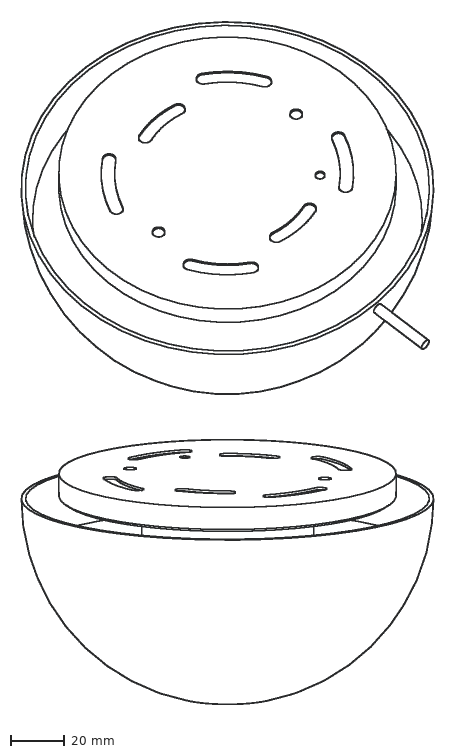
import cadquery as cq
import math

overall_length = 179.7
overall_height = 87.2
bowl_diameter = 155.0
bowl_radius = bowl_diameter / 2
wall = 1.6
floor_depth = 20.0

plate_top = overall_height - bowl_radius
plate_radius = 63.5
plate_edge_height = 8.5
bevel_width = 1.6
bevel_height = 1.0
underside_radius = plate_radius - bevel_width
neck_radius = 32.3

cable_diameter = 4.1
cable_drop = 4.0
cable_end = overall_length - bowl_radius

recess_depth = 0.9
slot_width = 5.0
slot_half_angle = 15
side_slot_radius = 35.0
side_slot_angles = (0, 180)
diagonal_slot_radius = 45.0
diagonal_slot_angles = (50, 130, 230, 310)
screw_hole_diameter = 4.7
screw_hole_offset = 37.7
small_hole_diameter = 3.6
small_hole_position = (26.0, 23.2)


def polar(radius, degrees):
    angle = math.radians(degrees)
    return (radius * math.cos(angle), radius * math.sin(angle))


def make_bowl():
    """Half ball with a thin upright rim around a flat sunken floor."""
    inner_radius = bowl_radius - wall
    floor_radius = math.sqrt(inner_radius**2 - floor_depth**2)
    mid_depth = floor_depth / 2
    mid_radius = math.sqrt(inner_radius**2 - mid_depth**2)
    profile = (
        cq.Workplane("XZ")
        .moveTo(0, -bowl_radius)
        .threePointArc(polar(bowl_radius, -45), (bowl_radius, 0))
        .lineTo(inner_radius, 0)
        .threePointArc((mid_radius, -mid_depth), (floor_radius, -floor_depth))
        .lineTo(0, -floor_depth)
        .close()
    )
    return profile.revolve(360, (0, 0), (0, 1))


def make_plate():
    """Round plate with a bevelled lower edge on a narrow central neck."""
    edge_bottom = plate_top - plate_edge_height
    underside = edge_bottom - bevel_height
    profile = (
        cq.Workplane("XZ")
        .moveTo(0, -floor_depth)
        .lineTo(neck_radius, -floor_depth)
        .lineTo(neck_radius, underside)
        .lineTo(underside_radius, underside)
        .lineTo(plate_radius, edge_bottom)
        .lineTo(plate_radius, plate_top)
        .lineTo(0, plate_top)
        .close()
    )
    return profile.revolve(360, (0, 0), (0, 1))


def make_cable():
    """Round cable starting inside the thickness of the bowl's wall."""
    start = bowl_radius - wall / 2
    return (
        cq.Workplane("YZ", origin=(start, 0, -cable_drop))
        .circle(cable_diameter / 2)
        .extrude(cable_end - start)
    )


def recess_plane():
    return cq.Workplane("XY", origin=(0, 0, plate_top - recess_depth))


def make_slot(radius, middle_angle):
    """Round-ended slot that follows an arc about the plate's centre."""
    inner = radius - slot_width / 2
    outer = radius + slot_width / 2
    first = middle_angle - slot_half_angle
    last = middle_angle + slot_half_angle
    cap_x, cap_y = polar(slot_width / 2, last + 90)
    last_x, last_y = polar(radius, last)
    back_x, back_y = polar(slot_width / 2, first - 90)
    first_x, first_y = polar(radius, first)
    return (
        recess_plane()
        .moveTo(*polar(outer, first))
        .threePointArc(polar(outer, middle_angle), polar(outer, last))
        .threePointArc((last_x + cap_x, last_y + cap_y), polar(inner, last))
        .threePointArc(polar(inner, middle_angle), polar(inner, first))
        .threePointArc((first_x + back_x, first_y + back_y), polar(outer, first))
        .close()
        .extrude(recess_depth)
    )


def make_holes(positions, diameter):
    return recess_plane().pushPoints(positions).circle(diameter / 2).extrude(recess_depth)


result = make_bowl().union(make_plate()).union(make_cable())

for angle in side_slot_angles:
    result = result.cut(make_slot(side_slot_radius, angle))
for angle in diagonal_slot_angles:
    result = result.cut(make_slot(diagonal_slot_radius, angle))

screw_hole_positions = [(0, screw_hole_offset), (0, -screw_hole_offset)]
result = result.cut(make_holes(screw_hole_positions, screw_hole_diameter))
result = result.cut(make_holes([small_hole_position], small_hole_diameter))